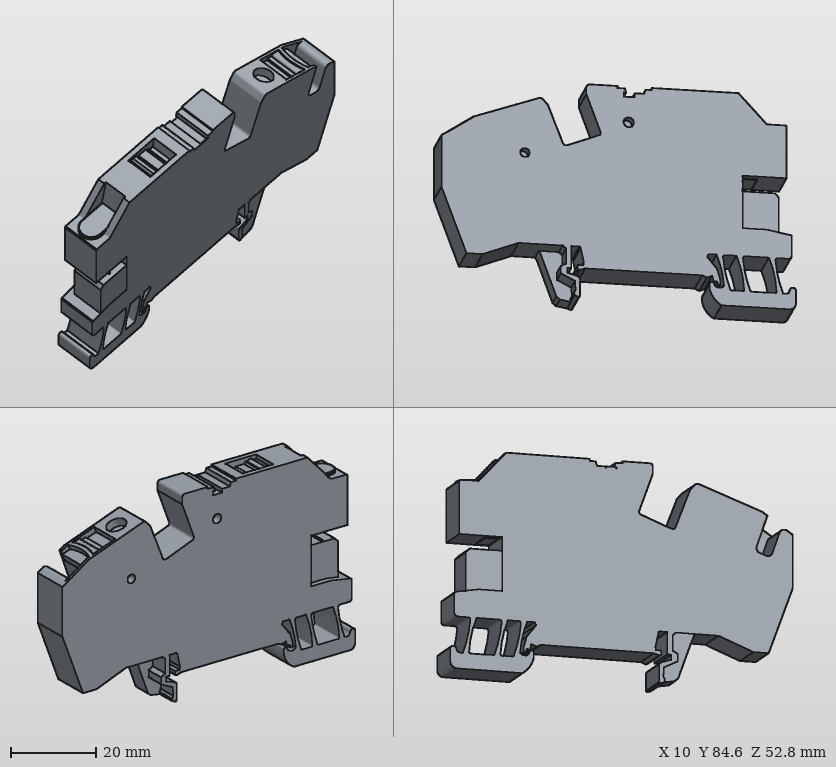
import cadquery as cq
import math

WIDTH = 10.0
LENGTH = 84.61
HEIGHT = 52.83
HALF_WIDTH = WIDTH / 2

UNDERSIDE_Z = 12.5
RAIL_DECK_Z = 7.15
MARKER_STEP_Z = HEIGHT - 0.5
MARKER_FLOOR_Z = HEIGHT - 1.55
SHELF_Z = 45.5
FRONT_FACE_Y = 2.26
SHELF_BACK_Y = 7.0
TOP_FRONT_Y = 13.8

EDGE_CHAMFER = 0.25

BAY_BACK_Y = 12.76
BAY_CEILING_Z = 32.42
LEDGE_Z = 19.4
LEDGE_BEND_Y = 7.1
LEDGE_FRONT_Y = 1.02
LEDGE_FRONT_Z = 18.4
CONTACT_X = (-3.1, 3.8)
CONTACT_HEIGHT = 0.27
CEILING_CONTACT_Y = (9.0, 12.3)
JUMPER_CONTACT_Y = (8.0, 8.4)
JUMPER_X = (-3.4, HALF_WIDTH)
JUMPER_FRONT_Y = 3.83
JUMPER_TOP_Z = 29.1
JUMPER_CHAMFER = 1.0

HEAD_CORNER = (60.8, 48.9)
HEAD_BEND = (59.2, 47.1)
VALLEY_CORNER = (55.35, 37.15)
TOWER_FOOT = (46.45, 40.55)
TOWER_REAR_Y = 50.03
BODY_ROUNDS = [
    (HEAD_CORNER, 1.0),
    (HEAD_BEND, 1.0),
    (VALLEY_CORNER, 0.8),
    (TOWER_FOOT, 0.6),
    ((TOWER_REAR_Y, HEIGHT), 0.8),
    ((SHELF_BACK_Y, SHELF_Z), 0.5),
    ((LEDGE_FRONT_Y, UNDERSIDE_Z), 0.8),
]

FOOT_BAR_TOP_Z = 3.83
LEG_FRONT_TOP_YS = (5.0, 12.75, 17.5)
LEG_TOP_WIDTH = 1.5
LEG_FRONT_LEAN = 1.9
LEG_REAR_LEAN = 0.35
LEG_TOP_RADIUS = 0.6
LEG_BOTTOM_RADIUS = 0.4

CREST_Y, CREST_Z = HEAD_CORNER
SLOPE_END_Y = 77.0
SLOPE_END_Z = 43.15
SLOPE_ANGLE = math.atan2(CREST_Z - SLOPE_END_Z, SLOPE_END_Y - CREST_Y)
SLOPE_PLANE = cq.Plane(
    origin=(0, CREST_Y, CREST_Z),
    xDir=(1, 0, 0),
    normal=(0, math.sin(SLOPE_ANGLE), math.cos(SLOPE_ANGLE)),
)

REAR_POCKET_HALF_WIDTH = 4.2
SCREW_HOLE_DISTANCE = 4.95
SCREW_HOLE_DIAMETER = 5.0
SCREW_HOLE_DEPTH = 2.25
SLIDER_FRONT = 8.5
SLIDER_REAR = 15.25
PLATE_FRONT = 16.45
PLATE_REAR = 18.75
ARC_SAG = 0.75
REAR_POCKET_DEPTH = 3.0
SLIDER_LOW_STEP = 11.55
SLIDER_HIGH_STEP = 12.95
SLIDER_STEP_DEPTHS = (1.5, 1.0, 0.3)
SLIDER_STEP_RADIUS = 0.5
PLATE_DEPTH = 1.3
GROOVE_REAR = 22.85
GROOVE_DEPTH = 9.6
GROOVE_FLOOR_RADIUS = 1.2
GROOVE_LIP_RADIUS = 1.25

WINDOW_HALF_WIDTH = 3.5
WINDOW_FRONT_Y = 22.6
WINDOW_REAR_Y = 31.5
WINDOW_REAR_TAPER = 0.8
WINDOW_FLOOR_Z = 48.5

CHANNEL_HALF_WIDTH = 3.1
CHANNEL_TOP_BACK_Y = 14.4
CHANNEL_BACK_Y = 13.0
CHANNEL_FLOOR_Z = 44.0
PLUG_TOP_Z = 46.2
PLUG_FRONT_Y = 2.9
PLUG_CHAMFER = 0.25

SIDE_HOLES = ((39.95, 43.97, 2.4), (64.7, 34.97, 2.2))
SIDE_HOLE_DEPTH = 2.5

LATCH_STRIP_REAR_EDGE = [
    (55.7, UNDERSIDE_Z),
    (54.9, 11.8),
    (54.9, 8.1),
    (56.15, 7.4),
    (56.15, 5.6),
    (52.75, 3.9),
    (52.6, 1.7),
    (53.0, 1.0),
    (52.85, 0.35),
]
LATCH_TOE = (51.57, 4.9)
LATCH_TOE_RADIUS = 0.8
LATCH_RECESS_X = 0.0


def side_prism(outline, x_start=-HALF_WIDTH, x_end=HALF_WIDTH):
    """Prism along X of a closed (y, z) polygon."""
    return cq.Workplane("YZ", origin=(x_start, 0, 0)).polyline(outline).close().extrude(x_end - x_start)


def round_corners(body, rounds):
    """Round edges along X; each entry holds the (y, z) of the edge and the radius."""
    for (y, z), radius in rounds:
        body = body.edges("|X").edges(cq.NearestToPointSelector((0, y, z))).fillet(radius)
    return body


def box(x_range, y_range, z_range):
    """Box between two limits on each axis."""
    sizes = [high - low for low, high in (x_range, y_range, z_range)]
    corner = (x_range[0], y_range[0], z_range[0])
    return cq.Workplane("XY").box(*sizes, centered=False).translate(corner)


def main_body():
    outline = [
        (78.65, 9.2),
        (LENGTH, 25.3),
        (LENGTH, 38.1),
        (SLOPE_END_Y, SLOPE_END_Z),
        HEAD_CORNER,
        HEAD_BEND,
        VALLEY_CORNER,
        TOWER_FOOT,
        (TOWER_REAR_Y, 50.3),
        (TOWER_REAR_Y, HEIGHT),
        (42.6, HEIGHT),
        (42.6, MARKER_STEP_Z),
        (40.85, MARKER_STEP_Z),
        (40.55, MARKER_FLOOR_Z),
        (36.25, MARKER_FLOOR_Z),
        (35.9, MARKER_STEP_Z),
        (34.45, MARKER_STEP_Z),
        (34.45, HEIGHT),
        (TOP_FRONT_Y, HEIGHT),
        (SHELF_BACK_Y, SHELF_Z),
        (FRONT_FACE_Y + EDGE_CHAMFER, SHELF_Z),
        (FRONT_FACE_Y, SHELF_Z - EDGE_CHAMFER),
        (FRONT_FACE_Y, BAY_CEILING_Z),
        (BAY_BACK_Y, BAY_CEILING_Z),
        (BAY_BACK_Y, LEDGE_Z),
        (LEDGE_BEND_Y, LEDGE_Z),
        (LEDGE_FRONT_Y + EDGE_CHAMFER, LEDGE_FRONT_Z),
        (LEDGE_FRONT_Y, LEDGE_FRONT_Z - EDGE_CHAMFER),
        (LEDGE_FRONT_Y, UNDERSIDE_Z),
        (20.85, UNDERSIDE_Z),
        (21.2, 11.8),
        (18.85, 8.9),
        (18.15, 6.4),
        (18.1, 5.1),
        (18.6, 5.1),
        (18.95, 5.9),
        (19.7, 5.9),
        (20.0, RAIL_DECK_Z),
        (21.3, 6.65),
        (22.4, RAIL_DECK_Z),
        (50.3, RAIL_DECK_Z),
        (51.6, 6.7),
        (52.05, 6.9),
        (52.05, 7.9),
        (50.75, 7.9),
        (50.65, 8.7),
        (51.4, 12.15),
        (51.7, UNDERSIDE_Z),
        (66.2, UNDERSIDE_Z),
        (74.8, 9.2),
    ]
    return round_corners(side_prism(outline), BODY_ROUNDS)


def foot_leg(front_top_y):
    """Slightly bowed leg between the housing and the foot bar."""
    mid_z = 8.5
    front_bow = 0.55
    rear_bow = 0.25
    return (
        cq.Workplane("YZ", origin=(-HALF_WIDTH, 0, 0))
        .moveTo(front_top_y, UNDERSIDE_Z)
        .threePointArc((front_top_y - front_bow, mid_z), (front_top_y - LEG_FRONT_LEAN, FOOT_BAR_TOP_Z))
        .lineTo(front_top_y - LEG_REAR_LEAN, FOOT_BAR_TOP_Z)
        .threePointArc((front_top_y + rear_bow, mid_z), (front_top_y + LEG_TOP_WIDTH, UNDERSIDE_Z))
        .close()
        .extrude(WIDTH)
    )


def leg_rounds():
    """Inner corners at the front top of each leg and at the bottom of the openings between legs."""
    rounds = [((y, UNDERSIDE_Z), LEG_TOP_RADIUS) for y in LEG_FRONT_TOP_YS]
    for front_leg_y, rear_leg_y in zip(LEG_FRONT_TOP_YS, LEG_FRONT_TOP_YS[1:]):
        rounds.append(((front_leg_y - LEG_REAR_LEAN, FOOT_BAR_TOP_Z), LEG_BOTTOM_RADIUS))
        rounds.append(((rear_leg_y - LEG_FRONT_LEAN, FOOT_BAR_TOP_Z), LEG_BOTTOM_RADIUS))
    return rounds


def foot_bar():
    """Bar under the legs, with a rounded grip in front and a claw at the rear."""
    return (
        cq.Workplane("YZ", origin=(-HALF_WIDTH, 0, 0))
        .moveTo(1.4, 0)
        .lineTo(17.8, 0)
        .threePointArc((19.6, 1.6), (20.65, 4.0))
        .lineTo(20.65, 5.2)
        .threePointArc((20.25, 5.65), (19.65, 5.55))
        .threePointArc((18.3, 4.3), (17.1, 5.3))
        .lineTo(16.5, FOOT_BAR_TOP_Z)
        .lineTo(2.4, FOOT_BAR_TOP_Z)
        .threePointArc((1.8, 4.1), (1.5, 4.7))
        .threePointArc((0.75, 5.4), (0, 4.65))
        .lineTo(0, 1.5)
        .threePointArc((0.45, 0.5), (1.4, 0))
        .close()
        .extrude(WIDTH)
    )


def latch_strip():
    """S-shaped spring strip that grips the rear edge of the rail."""
    outline = LATCH_STRIP_REAR_EDGE + [
        (51.9, 0),
        (51.57, 0.3),
        LATCH_TOE,
        (54.6, 5.9),
        (54.6, 7.1),
        (53.6, 7.1),
        (53.6, UNDERSIDE_Z),
    ]
    return round_corners(side_prism(outline), [(LATCH_TOE, LATCH_TOE_RADIUS)])


def marker_notch():
    """Slot under the marker channel, ending in a sloped wall near +X."""
    y_front = 38.5
    y_rear = 41.1
    end_wall_run = 0.7
    floor_z = MARKER_FLOOR_Z - 1.0
    outline = [
        (-HALF_WIDTH, floor_z),
        (HALF_WIDTH - end_wall_run, floor_z),
        (HALF_WIDTH, MARKER_FLOOR_Z),
        (-HALF_WIDTH, MARKER_FLOOR_Z),
    ]
    return cq.Workplane("XZ", origin=(0, y_rear, 0)).polyline(outline).close().extrude(y_rear - y_front)


def wire_groove():
    """Deep groove square to the inclined face, open towards +X."""
    overshoot = 3.0
    length = GROOVE_REAR - PLATE_REAR
    section_plane = cq.Plane(
        origin=(-REAR_POCKET_HALF_WIDTH, CREST_Y, CREST_Z),
        xDir=SLOPE_PLANE.yDir,
        normal=(1, 0, 0),
    )
    return (
        cq.Workplane(section_plane)
        .center(PLATE_REAR, -GROOVE_DEPTH)
        .rect(length, GROOVE_DEPTH + overshoot, centered=False)
        .extrude(REAR_POCKET_HALF_WIDTH + HALF_WIDTH)
        .edges("|X")
        .fillet(GROOVE_FLOOR_RADIUS)
    )


def slope_outline(front, rear, front_sag=0.0, rear_sag=0.0):
    """Outline in the inclined face, its two ends bowed towards the crest by the given sags."""
    half = REAR_POCKET_HALF_WIDTH
    sketch = cq.Workplane(SLOPE_PLANE).moveTo(-half, rear).lineTo(-half, front)
    if front_sag:
        sketch = sketch.threePointArc((0, front - front_sag), (half, front))
    else:
        sketch = sketch.lineTo(half, front)
    sketch = sketch.lineTo(half, rear)
    if rear_sag:
        return sketch.threePointArc((0, rear - rear_sag), (-half, rear)).close()
    return sketch.close()


def slider_pocket():
    return slope_outline(SLIDER_FRONT, SLIDER_REAR, rear_sag=ARC_SAG).extrude(-REAR_POCKET_DEPTH)


def plate_pocket():
    return slope_outline(PLATE_FRONT, PLATE_REAR, front_sag=ARC_SAG).extrude(-REAR_POCKET_DEPTH)


def screw_hole():
    return (
        cq.Workplane(SLOPE_PLANE)
        .center(0, SCREW_HOLE_DISTANCE)
        .circle(SCREW_HOLE_DIAMETER / 2)
        .extrude(-SCREW_HOLE_DEPTH)
    )


def window():
    outline = [
        (WINDOW_FRONT_Y, HEIGHT),
        (WINDOW_REAR_Y, HEIGHT),
        (WINDOW_REAR_Y - WINDOW_REAR_TAPER, WINDOW_FLOOR_Z),
        (WINDOW_FRONT_Y, WINDOW_FLOOR_Z),
    ]
    return side_prism(outline, -WINDOW_HALF_WIDTH, WINDOW_HALF_WIDTH)


def plug_footprint(height):
    """Prism on the channel floor with a half-round front end."""
    arc_centre_y = PLUG_FRONT_Y + CHANNEL_HALF_WIDTH
    return (
        cq.Workplane("XY", origin=(0, 0, CHANNEL_FLOOR_Z))
        .moveTo(-CHANNEL_HALF_WIDTH, CHANNEL_BACK_Y)
        .lineTo(-CHANNEL_HALF_WIDTH, arc_centre_y)
        .threePointArc((0, PLUG_FRONT_Y), (CHANNEL_HALF_WIDTH, arc_centre_y))
        .lineTo(CHANNEL_HALF_WIDTH, CHANNEL_BACK_Y)
        .close()
        .extrude(height)
    )


def wire_channel():
    back_wedge = side_prism(
        [(CHANNEL_BACK_Y, PLUG_TOP_Z), (CHANNEL_TOP_BACK_Y, HEIGHT), (CHANNEL_BACK_Y, HEIGHT)],
        -CHANNEL_HALF_WIDTH,
        CHANNEL_HALF_WIDTH,
    )
    return plug_footprint(HEIGHT - CHANNEL_FLOOR_Z).union(back_wedge)


def side_hole(y, z, diameter):
    return cq.Workplane("YZ", origin=(-HALF_WIDTH, y, z)).circle(diameter / 2).extrude(SIDE_HOLE_DEPTH)


def make_housing():
    body = main_body().union(foot_bar()).union(latch_strip())
    for front_top_y in LEG_FRONT_TOP_YS:
        body = body.union(foot_leg(front_top_y))
    body = round_corners(body, leg_rounds())
    ceiling_contact_z = (BAY_CEILING_Z - CONTACT_HEIGHT, BAY_CEILING_Z)
    body = body.union(box(CONTACT_X, CEILING_CONTACT_Y, ceiling_contact_z))
    cutters = [
        marker_notch(),
        wire_groove(),
        slider_pocket(),
        plate_pocket(),
        screw_hole(),
        window(),
        wire_channel(),
    ]
    cutters += [side_hole(*hole) for hole in SIDE_HOLES]
    for cutter in cutters:
        body = body.cut(cutter)
    lip = SLOPE_PLANE.toWorldCoords((0, GROOVE_REAR, 0))
    return round_corners(body, [((lip.y, lip.z), GROOVE_LIP_RADIUS)])


def make_jumper_block():
    """Block resting on the ledge of the front bay."""
    bend_slope = (LEDGE_Z - LEDGE_FRONT_Z) / (LEDGE_BEND_Y - LEDGE_FRONT_Y)
    front_bottom_z = LEDGE_Z - bend_slope * (LEDGE_BEND_Y - JUMPER_FRONT_Y)
    outline = [
        (BAY_BACK_Y, LEDGE_Z),
        (LEDGE_BEND_Y, LEDGE_Z),
        (JUMPER_FRONT_Y, front_bottom_z),
        (JUMPER_FRONT_Y, JUMPER_TOP_Z - JUMPER_CHAMFER),
        (JUMPER_FRONT_Y + JUMPER_CHAMFER, JUMPER_TOP_Z),
        (BAY_BACK_Y, JUMPER_TOP_Z),
    ]
    contact_z = (JUMPER_TOP_Z, JUMPER_TOP_Z + CONTACT_HEIGHT)
    return side_prism(outline, *JUMPER_X).union(box(CONTACT_X, JUMPER_CONTACT_Y, contact_z))


def make_latch_wedge():
    """Wedge that backs the latch strip, set back from the -X side."""
    outline = LATCH_STRIP_REAR_EDGE + [(55.5, 0.8), (56.3, 1.5), (60.0, 11.7), (60.5, UNDERSIDE_Z)]
    return side_prism(outline, LATCH_RECESS_X, HALF_WIDTH)


def make_rear_slider():
    """Slider in the inclined face, stepping down towards the crest."""
    slider = slider_pocket()
    steps = (SLIDER_FRONT, SLIDER_LOW_STEP, SLIDER_HIGH_STEP, SLIDER_REAR)
    for front, rear, depth in zip(steps, steps[1:], SLIDER_STEP_DEPTHS):
        slider = slider.cut(slope_outline(front, rear).extrude(-depth))
    edge = SLOPE_PLANE.toWorldCoords((0, SLIDER_HIGH_STEP, -SLIDER_STEP_DEPTHS[-1]))
    return round_corners(slider, [((edge.y, edge.z), SLIDER_STEP_RADIUS)])


def make_entry_plate():
    """Arc-ended plate between the wire groove and the slider."""
    thickness = REAR_POCKET_DEPTH - PLATE_DEPTH
    plate = slope_outline(PLATE_FRONT, PLATE_REAR, front_sag=ARC_SAG).extrude(-thickness)
    return plate.translate(SLOPE_PLANE.zDir * -PLATE_DEPTH)


def make_window_slider():
    """Slider in the top window, its steps rising towards the front."""
    rear_wall_slope = WINDOW_REAR_TAPER / (HEIGHT - WINDOW_FLOOR_Z)
    low_step_z = 50.0
    outline = [
        (WINDOW_FRONT_Y, WINDOW_FLOOR_Z),
        (WINDOW_REAR_Y - WINDOW_REAR_TAPER, WINDOW_FLOOR_Z),
        (WINDOW_REAR_Y - rear_wall_slope * (HEIGHT - low_step_z), low_step_z),
        (29.7, low_step_z),
        (29.4, 50.8),
        (28.9, 50.8),
        (28.5, 51.3),
        (26.1, 51.3),
        (25.7, 51.8),
        (25.3, 51.8),
        (24.1, 52.2),
        (23.5, 51.8),
        (WINDOW_FRONT_Y, 51.8),
    ]
    return side_prism(outline, -WINDOW_HALF_WIDTH, WINDOW_HALF_WIDTH)


def make_front_plug():
    """Plug on the channel floor; its half-round nose stands above the front shelf."""
    plug = plug_footprint(PLUG_TOP_Z - CHANNEL_FLOOR_Z)
    return plug.faces(">Z").edges("not >Y").chamfer(PLUG_CHAMFER)


housing = make_housing()
jumper_block = make_jumper_block()
latch_wedge = make_latch_wedge()
rear_slider = make_rear_slider()
entry_plate = make_entry_plate()
window_slider = make_window_slider()
front_plug = make_front_plug()

result = cq.Compound.makeCompound(
    [
        housing.val(),
        jumper_block.val(),
        latch_wedge.val(),
        rear_slider.val(),
        entry_plate.val(),
        window_slider.val(),
        front_plug.val(),
    ]
)